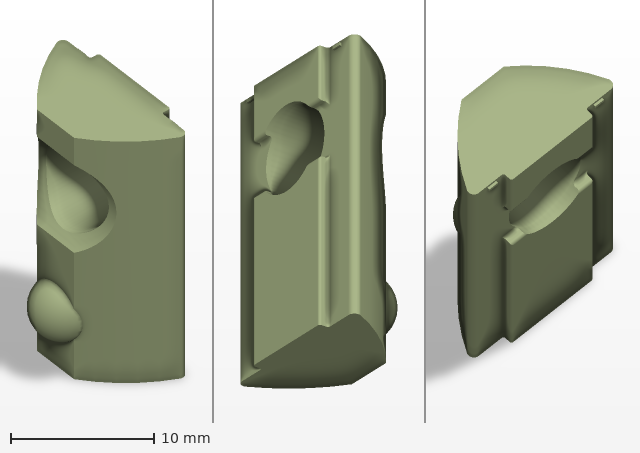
import cadquery as cq
import math

length = 22.0
half_width = 6.75
flat_half_width = 2.0
wing_y = 6.42
flank_start_y = 5.8
flank_mid = (5.4, 3.45)
wing_radius = 0.5
flank_corner_radius = 0.37
select_margin = 0.02

rib_half_width = 3.9
rib_height = 0.8
rib_back_y = wing_y + rib_height
rib_radius = 0.2

hole_z = 15.5
hole_radius = 3.4
groove_radius = 5.0
groove_depth = 2.0
relief_height = 4.4
relief_radius = 0.26

pad_width = 0.84
pad_height = 0.25
pad_thickness = 0.2
pad_x = 5.02
pad_top_gap = 0.22

ball_radius = 2.5
ball_z = 5.0
ball_protrusion = 1.87
ball_y = ball_radius - ball_protrusion


def make_body_blank():
    """Extrude the nut section: front flat, bowed flanks and rounded wings."""
    mid_x, mid_y = flank_mid
    flank_corners = cq.selectors.BoxSelector(
        (-2 * half_width, flank_start_y - select_margin, 0),
        (2 * half_width, flank_start_y + select_margin, length),
    )
    return (
        cq.Workplane("XY")
        .moveTo(-flat_half_width, 0)
        .lineTo(flat_half_width, 0)
        .threePointArc((mid_x, mid_y), (half_width, flank_start_y))
        .lineTo(half_width, wing_y)
        .lineTo(-half_width, wing_y)
        .lineTo(-half_width, flank_start_y)
        .threePointArc((-mid_x, mid_y), (-flat_half_width, 0))
        .close()
        .extrude(length)
        .edges("|Z and >Y")
        .fillet(wing_radius)
        .edges(flank_corners)
        .fillet(flank_corner_radius)
    )


def make_rib():
    """Full-length rear rib, its feet flared into the wings by concave fillets."""
    diagonal = rib_radius * math.sqrt(0.5)
    foot_x = rib_half_width + rib_radius
    foot_y = wing_y + rib_radius
    foot_mid = (foot_x - diagonal, foot_y - diagonal)
    crown_x = rib_half_width - rib_radius
    crown_y = rib_back_y - rib_radius
    crown_mid = (crown_x + diagonal, crown_y + diagonal)
    return (
        cq.Workplane("XY")
        .moveTo(-foot_x, wing_y)
        .lineTo(foot_x, wing_y)
        .threePointArc(foot_mid, (rib_half_width, foot_y))
        .lineTo(rib_half_width, crown_y)
        .threePointArc(crown_mid, (crown_x, rib_back_y))
        .lineTo(-crown_x, rib_back_y)
        .threePointArc((-crown_mid[0], crown_mid[1]), (-rib_half_width, crown_y))
        .lineTo(-rib_half_width, foot_y)
        .threePointArc((-foot_mid[0], foot_mid[1]), (-foot_x, wing_y))
        .close()
        .extrude(length)
    )


def make_relief_cutter():
    """Slot across the rib, with rounded mouth edges and rounded floor corners."""
    half = relief_height / 2
    diagonal = relief_radius * math.sqrt(0.5)
    floor_y = wing_y + relief_radius
    mouth_y = rib_back_y - relief_radius
    floor_mid = (floor_y - diagonal, half - relief_radius + diagonal)
    mouth_mid = (mouth_y + diagonal, half + relief_radius - diagonal)
    return (
        cq.Workplane("YZ", origin=(-half_width, 0, hole_z))
        .moveTo(wing_y, -half + relief_radius)
        .lineTo(wing_y, half - relief_radius)
        .threePointArc(floor_mid, (floor_y, half))
        .lineTo(mouth_y, half)
        .threePointArc(mouth_mid, (rib_back_y, half + relief_radius))
        .lineTo(rib_back_y, -half - relief_radius)
        .threePointArc((mouth_mid[0], -mouth_mid[1]), (mouth_y, -half))
        .lineTo(floor_y, -half)
        .threePointArc((floor_mid[0], -floor_mid[1]), (wing_y, -half + relief_radius))
        .close()
        .extrude(2 * half_width)
    )


def make_hole_cutter():
    """Round hole along Y through the full depth."""
    return (
        cq.Workplane("XZ", origin=(0, 0, hole_z))
        .circle(hole_radius)
        .extrude(-rib_back_y)
    )


def make_groove_cutter():
    """Cylinder along X that scoops the front of the nut around the hole."""
    return (
        cq.Workplane("YZ", origin=(-half_width, groove_depth - groove_radius, hole_z))
        .circle(groove_radius)
        .extrude(2 * half_width)
    )


def make_pad(side):
    """Raised pad just below the top face; side is -1 or +1."""
    return (
        cq.Workplane("XY")
        .box(pad_width, pad_thickness, pad_height, centered=(True, False, False))
        .translate((side * pad_x, wing_y, length - pad_top_gap - pad_height))
    )


def make_ball():
    return cq.Workplane("XY").sphere(ball_radius).translate((0, ball_y, ball_z))


def make_housing():
    """Nut body with the cross hole and a spherical seat for the ball."""
    body = make_body_blank().union(make_rib())
    body = body.cut(make_relief_cutter())
    body = body.cut(make_hole_cutter())
    body = body.cut(make_groove_cutter())
    for side in (-1, 1):
        body = body.union(make_pad(side))
    return body.cut(make_ball())


housing = make_housing()
ball = make_ball()

result = cq.Compound.makeCompound([housing.val(), ball.val()])